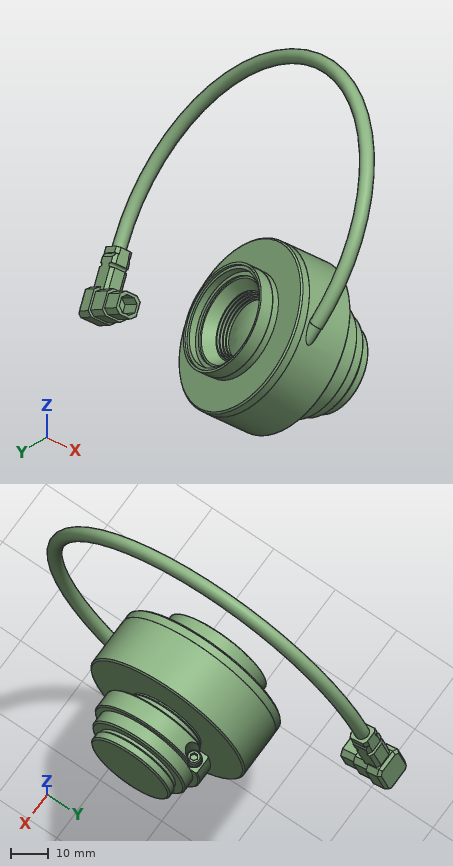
import cadquery as cq
import math


front_rim_radius = 15.7
front_rim_end = 4.1
front_step_radius = 15.6
housing_start = 6.1
housing_seam = 8.9
housing_end = 23.5
housing_radius = 25.0
housing_seam_step = 0.06
housing_chamfer = 0.5
neck_radius = 11.6
neck_chamfer = 0.5
washer_start = 26.6
washer_radius = 11.9
clamp_start = 27.1
clamp_end = 32.9
clamp_radius = 17.0
clamp_chamfer = 0.3
flange_end = 36.9
flange_radius = 15.0
flange_chamfer = 0.5
relief_end = 37.8
relief_radius = 12.2
thread_radius = 12.7
thread_chamfer = 0.5
lens_length = 40.6

rim_recess_radius = 15.0
rim_recess_depth = 0.7
filter_thread_radius = 14.1
filter_thread_depth = 2.8
ledge_radius = 13.0
cone_start = 3.4
cone_front_radius = 12.4
cone_back_radius = 10.1
cone_end = 6.6
retainer_steps = 4
glass_radius = 8.5
glass_edge = 9.7
glass_bulge = 1.5

screw_y = 13.3
screw_flat_z = 5.0
screw_pocket_depth = 0.3
screw_clearance_diameter = 4.5
screw_head_diameter = 4.0
screw_head_height = 2.5
screw_head_chamfer = 0.3
screw_socket_diameter = 1.9
screw_socket_depth = 1.1

cable_x = 11.8
cable_diameter = 4.0
loop_radius = 51.9
loop_center_y = 7.0
loop_center_z = 32.5
plug_end_angle = 23.5
lens_end_angle = 233.0
stub_diameter = 3.8
stub_length = 8.0

stem_half_out = 3.0
stem_half_x = 3.0
stem_chamfer_out = 0.7
stem_chamfer_x = 1.1
collar_start = 1.6
collar_end = 3.4
collar_half_x = 2.7
ramp_end = 4.5
ramp_height = 0.7
notch_center = 6.8
notch_width = 1.1
notch_bottom = 1.6
stem_end = 15.9
head_center = 17.5
head_back = -4.0
head_back_chamfer = 0.8
head_chamfer_x = 1.6
head_chamfer_along = 1.3
head_sections = [
    (head_back, 0.7, 4.8, 4.3),
    (0.7, 5.9, 4.1, 3.9),
    (5.9, 11.0, 3.5, 3.3),
]
socket_wall = 0.8
socket_depth = 5.3


def lens_body():
    """Turned body, half profile in the XY plane revolved about X."""
    seam_radius = housing_radius - housing_seam_step
    profile = (
        cq.Workplane("XY")
        .moveTo(0, rim_recess_radius)
        .lineTo(0, front_rim_radius)
        .lineTo(front_rim_end, front_rim_radius)
        .lineTo(front_rim_end, front_step_radius)
        .lineTo(housing_start, front_step_radius)
        .lineTo(housing_start, seam_radius - housing_chamfer)
        .lineTo(housing_start + housing_chamfer, seam_radius)
        .lineTo(housing_seam, seam_radius)
        .lineTo(housing_seam, housing_radius)
        .lineTo(housing_end - housing_chamfer, housing_radius)
        .lineTo(housing_end, housing_radius - housing_chamfer)
        .lineTo(housing_end, neck_radius - neck_chamfer)
        .lineTo(housing_end + neck_chamfer, neck_radius - neck_chamfer)
        .lineTo(housing_end + 2 * neck_chamfer, neck_radius)
        .lineTo(washer_start, neck_radius)
        .lineTo(washer_start, washer_radius)
        .lineTo(clamp_start, washer_radius)
        .lineTo(clamp_start, clamp_radius - clamp_chamfer)
        .lineTo(clamp_start + clamp_chamfer, clamp_radius)
        .lineTo(clamp_end - clamp_chamfer, clamp_radius)
        .lineTo(clamp_end, clamp_radius - clamp_chamfer)
        .lineTo(clamp_end, flange_radius)
        .lineTo(flange_end - flange_chamfer, flange_radius)
        .lineTo(flange_end, flange_radius - flange_chamfer)
        .lineTo(flange_end, relief_radius)
        .lineTo(relief_end, relief_radius)
        .lineTo(relief_end + thread_chamfer, thread_radius)
        .lineTo(lens_length - thread_chamfer, thread_radius)
        .lineTo(lens_length, thread_radius - thread_chamfer)
        .lineTo(lens_length, 0)
        .lineTo(glass_edge - glass_bulge, 0)
        .threePointArc(glass_dome_point(0.5), (glass_edge, glass_radius))
    )
    step_length = (glass_edge - cone_end) / retainer_steps
    step_height = (cone_back_radius - glass_radius) / retainer_steps
    for step in range(retainer_steps):
        profile = profile.hLine(-step_length).vLine(step_height)
    profile = (
        profile.lineTo(cone_start, cone_front_radius)
        .lineTo(cone_start, ledge_radius)
        .lineTo(filter_thread_depth, ledge_radius)
        .lineTo(filter_thread_depth, filter_thread_radius)
        .lineTo(rim_recess_depth, filter_thread_radius)
        .lineTo(rim_recess_depth, rim_recess_radius)
        .close()
    )
    return profile.revolve(360, (0, 0, 0), (1, 0, 0))


def glass_dome_point(fraction):
    """Point of the spherical front glass at a fraction of its rim radius."""
    sphere_radius = (glass_radius**2 + glass_bulge**2) / (2 * glass_bulge)
    radius = fraction * glass_radius
    rise = sphere_radius - math.sqrt(sphere_radius**2 - radius**2)
    return (glass_edge - glass_bulge + rise, radius)


def add_clamp_screw(body):
    """Flat with a screw pocket on top of the clamp ring, and the socket screw in it."""
    middle_x = (clamp_start + clamp_end) / 2
    seat_z = screw_flat_z - screw_pocket_depth
    flat_width = clamp_radius - screw_y
    flat = (
        cq.Workplane("XY", origin=(middle_x, screw_y + flat_width / 2, screw_flat_z))
        .rect(clamp_end - clamp_start, flat_width)
        .extrude(clamp_radius)
    )
    seat = cq.Workplane("XY", origin=(middle_x, screw_y, seat_z))
    pocket = seat.circle(screw_clearance_diameter / 2).extrude(clamp_radius)
    head = seat.circle(screw_head_diameter / 2).extrude(screw_head_height)
    head = head.faces(">Z").chamfer(screw_head_chamfer)
    socket = (
        head.faces(">Z").workplane(origin=(middle_x, screw_y, 0))
        .polygon(6, screw_socket_diameter, circumscribed=True)
        .extrude(-screw_socket_depth, combine=False)
    )
    return body.cut(flat).cut(pocket).union(head.cut(socket))


def loop_point(angle):
    turn = math.radians(angle)
    y = loop_center_y + loop_radius * math.cos(turn)
    z = loop_center_z + loop_radius * math.sin(turn)
    return cq.Vector(cable_x, y, z)


def cable():
    """Cable along one circular loop, with a thinner straight stub into the housing."""
    start = loop_point(plug_end_angle)
    middle = loop_point((plug_end_angle + lens_end_angle) / 2)
    end = loop_point(lens_end_angle)
    path = cq.Workplane(cq.Edge.makeThreePointArc(start, middle, end))
    start_plane = cq.Plane(start, xDir=(1, 0, 0), normal=loop_direction(plug_end_angle))
    wire = cq.Workplane(start_plane).circle(cable_diameter / 2).sweep(path)
    end_plane = cq.Plane(end, xDir=(1, 0, 0), normal=loop_direction(lens_end_angle))
    stub = cq.Workplane(end_plane).circle(stub_diameter / 2).extrude(stub_length)
    return wire.union(stub)


def loop_direction(angle):
    """Direction of travel along the loop, from the plug towards the lens."""
    turn = math.radians(angle)
    return cq.Vector(0, -math.sin(turn), math.cos(turn))


along_axis = loop_direction(plug_end_angle) * -1
out_axis = along_axis.cross(cq.Vector(1, 0, 0))
plug_origin = loop_point(plug_end_angle)


def plug_plane(normal, along=0.0, out=0.0):
    """Workplane facing a given way, at a place given in the plug frame."""
    origin = plug_origin + along_axis * along + out_axis * out
    x_direction = (1, 0, 0) if abs(normal.x) < 0.5 else out_axis
    return cq.Workplane(cq.Plane(origin, xDir=x_direction, normal=normal))


def chamfered_block(plane, half_x, half_y, chamfer_x, chamfer_y, length):
    """Prism whose rectangular section has its four corners cut off."""
    corners = [
        (half_x, half_y - chamfer_y), (half_x - chamfer_x, half_y),
        (chamfer_x - half_x, half_y), (-half_x, half_y - chamfer_y),
        (-half_x, chamfer_y - half_y), (chamfer_x - half_x, -half_y),
        (half_x - chamfer_x, -half_y), (half_x, chamfer_y - half_y),
    ]
    return plane.polyline(corners).close().extrude(length)


def stem_block(start, end, half_x):
    plane = plug_plane(along_axis, along=start)
    return chamfered_block(plane, half_x, stem_half_out, stem_chamfer_x, stem_chamfer_out, end - start)


def plug_stem():
    """Collar and stem between cable and head, with a ramp on both X faces and two side notches."""
    sleeve = plug_plane(along_axis).circle(cable_diameter / 2).extrude(collar_start)
    collar = stem_block(collar_start, collar_end, collar_half_x)
    stem = stem_block(collar_end, stem_end, stem_half_x)
    notch_radius = notch_width / 2
    for side in (-1, 1):
        ramp = (
            plug_plane(out_axis, out=-stem_half_out)
            .moveTo(side * stem_half_x, -collar_end)
            .lineTo(side * (stem_half_x - ramp_height), -collar_end)
            .lineTo(side * stem_half_x, -ramp_end)
            .close()
            .extrude(2 * stem_half_out)
        )
        round_bottom = (
            plug_plane(along_axis.cross(out_axis), along=notch_center, out=side * (notch_bottom + notch_radius))
            .circle(notch_radius)
            .extrude(stem_half_x, both=True)
        )
        open_depth = stem_half_out - notch_bottom - notch_radius
        opening = (
            plug_plane(along_axis, along=notch_center - notch_radius)
            .center(0, side * (stem_half_out - open_depth / 2))
            .rect(2 * stem_half_x, open_depth)
            .extrude(notch_width)
        )
        stem = stem.cut(ramp).cut(round_bottom).cut(opening)
    return sleeve.union(collar).union(stem)


def is_above_head_middle(edge):
    """True for edges in the half of the head that faces the cable, and for edges level with it."""
    along = (edge.Center() - plug_origin).dot(along_axis)
    return along < head_center + 0.1


def plug_head():
    """Stepped head with an octagonal section and an open socket at its mating face."""
    head = None
    for start, end, half_x, half_along in head_sections:
        plane = plug_plane(out_axis, along=head_center, out=start)
        section = chamfered_block(plane, half_x, half_along, head_chamfer_x, head_chamfer_along, end - start)
        if head is None:
            back_face = cq.selectors.DirectionMinMaxSelector(out_axis, False)
            back_edges = section.faces(back_face).edges().filter(is_above_head_middle)
            head = back_edges.chamfer(head_back_chamfer)
        else:
            head = head.union(section)
    mating_face, half_x, half_along = head_sections[-1][1:]
    socket_plane = plug_plane(out_axis, along=head_center, out=mating_face - socket_depth)
    socket = chamfered_block(
        socket_plane, half_x - socket_wall, half_along - socket_wall, head_chamfer_x, head_chamfer_along, socket_depth
    )
    return head.cut(socket)


lens = add_clamp_screw(lens_body())
result = lens.union(cable()).union(plug_stem()).union(plug_head())